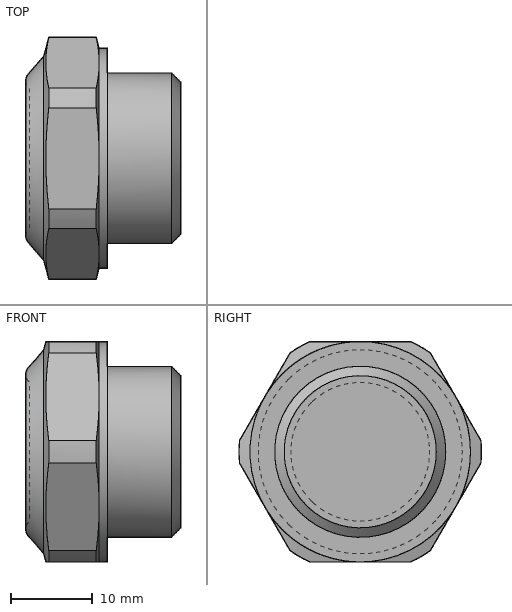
import cadquery as cq
import math


shank_diameter = 20.95
thread_minor_diameter = 18.63
shank_length = 9.0

collar_diameter = 27.0
collar_thickness = 1.0

across_flats = 27.0
corner_diameter = 1.1 * across_flats
corner_chamfer_angle = math.radians(15)

head_length = 10.0
cone_base_diameter = 25.0
cone_base_to_front = 2.2
cone_angle = math.radians(40)
lip_crest_diameter = 19.0
lip_radius = 1.25
recess_diameter = 17.0


def make_shank():
    """Cylinder from the sealing face, with a 45 degree lead-in down to the thread root."""
    lead_in = (shank_diameter - thread_minor_diameter) / 2
    shank = cq.Workplane("YZ").circle(shank_diameter / 2).extrude(shank_length)
    return shank.faces(">X").chamfer(lead_in)


def make_collar():
    return cq.Workplane("YZ").circle(collar_diameter / 2).extrude(-collar_thickness)


def make_turned_head():
    """Turned envelope of the head: lip, front cone and chamfered rim, before the flats are cut."""
    front_x = -head_length
    back_x = -collar_thickness
    crest_r = lip_crest_diameter / 2
    recess_r = recess_diameter / 2
    cone_base_r = cone_base_diameter / 2
    corner_r = corner_diameter / 2
    collar_r = collar_diameter / 2
    cone_base_x = front_x + cone_base_to_front

    def lip_point(angle):
        x = front_x + lip_radius * (1 - math.cos(angle))
        r = crest_r + lip_radius * math.sin(angle)
        return (x, r)

    inner_angle = -math.asin((crest_r - recess_r) / lip_radius)
    floor_edge = lip_point(inner_angle)
    floor_x = floor_edge[0]

    slope = math.tan(corner_chamfer_angle)
    front_chamfer = (corner_r - cone_base_r) * slope
    back_chamfer = (corner_r - collar_r) * slope

    profile = (
        cq.Workplane("XY")
        .moveTo(floor_x, 0)
        .lineTo(*floor_edge)
        .threePointArc(lip_point(inner_angle / 2), (front_x, crest_r))
        .threePointArc(lip_point(cone_angle / 2), lip_point(cone_angle))
        .lineTo(cone_base_x, cone_base_r)
        .lineTo(cone_base_x + front_chamfer, corner_r)
        .lineTo(back_x - back_chamfer, corner_r)
        .lineTo(back_x, collar_r)
        .lineTo(back_x, 0)
        .close()
    )
    return profile.revolve(360, (0, 0, 0), (1, 0, 0), clean=False)


def make_hexagon():
    """Hexagonal prism over the head, with corners on the Y axis and flats facing +Z and -Z."""
    across_corners = across_flats / math.cos(math.radians(30))
    return cq.Workplane("YZ").polygon(6, across_corners).extrude(-head_length)


head = make_turned_head().intersect(make_hexagon(), clean=False)
result = head.union(make_collar(), clean=False).union(make_shank(), clean=False)